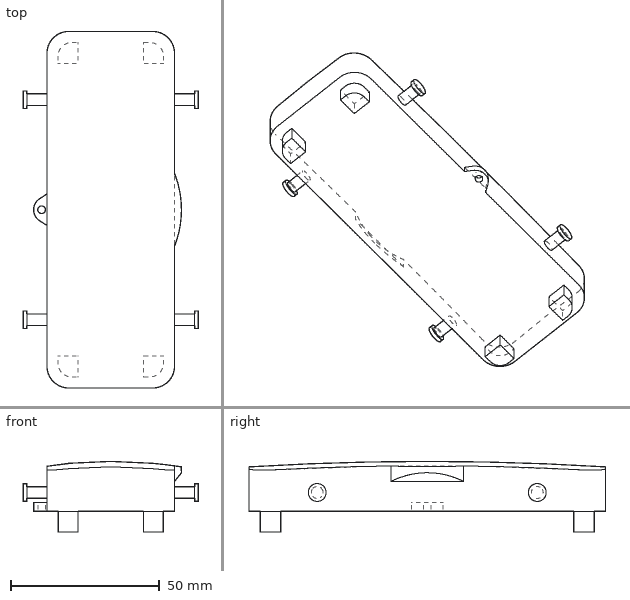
import cadquery as cq
import math

BODY_WIDTH = 43.0
BODY_LENGTH = 120.0
CORNER_RADIUS = 7.5
CROWN_HEIGHT = 16.84
ROOF_DROP_ACROSS = 1.5
ROOF_DROP_ALONG = 1.85
HALF_WIDTH = BODY_WIDTH / 2
HALF_LENGTH = BODY_LENGTH / 2

LIP_REACH = 2.3
LIP_HALF_SPAN = 12.2
LIP_EDGE_BOTTOM = 13.0
LIP_ROOT_BOTTOM = 10.1

PIN_DIAMETER = 4.0
PIN_HEAD_DIAMETER = 6.0
PIN_HEAD_THICKNESS = 1.3
PIN_TIP_X = 29.5
PIN_Y = 37.0
PIN_Z = 6.35

FOOT_HEIGHT = 7.0
FOOT_INSET = 3.8
FOOT_WIDTH = 6.75
FOOT_LENGTH = 7.0
FOOT_CORNER_RADIUS = 4.5

TAB_THICKNESS = 3.0
TAB_RADIUS = 4.45
TAB_ROOT_HALF_WIDTH = 5.3
EYELET_DIAMETER = 2.5
EYELET_OFFSET = 1.75


def arc_radius(half_chord, rise):
    """Radius of the arc with the given half chord and rise."""
    return (half_chord**2 + rise**2) / (2 * rise)


def make_block():
    """Straight-sided rounded block, as tall as the crown."""
    block = cq.Workplane("XY").rect(BODY_WIDTH, BODY_LENGTH).extrude(CROWN_HEIGHT)
    return block.edges("|Z").fillet(CORNER_RADIUS)


def make_lip():
    """Arc-shaped bulge whose underside slopes back to the body side."""
    tip_x = HALF_WIDTH + LIP_REACH
    bulge = (
        cq.Workplane("XY")
        .moveTo(0, -LIP_HALF_SPAN)
        .lineTo(HALF_WIDTH, -LIP_HALF_SPAN)
        .threePointArc((tip_x, 0), (HALF_WIDTH, LIP_HALF_SPAN))
        .lineTo(0, LIP_HALF_SPAN)
        .close()
        .extrude(CROWN_HEIGHT)
    )
    side_profile = (
        cq.Workplane("XZ")
        .polyline([
            (0, LIP_ROOT_BOTTOM),
            (HALF_WIDTH, LIP_ROOT_BOTTOM),
            (tip_x, LIP_EDGE_BOTTOM),
            (tip_x, CROWN_HEIGHT),
            (0, CROWN_HEIGHT),
        ])
        .close()
        .extrude(LIP_HALF_SPAN, both=True)
    )
    return bulge.intersect(side_profile)


def make_dome():
    """Barrel-shaped solid whose upper surface is the roof, in two halves meeting at x = 0."""
    across_radius = arc_radius(HALF_WIDTH, ROOF_DROP_ACROSS)
    axis_z = CROWN_HEIGHT - arc_radius(HALF_LENGTH, ROOF_DROP_ALONG)
    dome_half_width = BODY_WIDTH

    def roof_point(x):
        drop = across_radius - math.sqrt(across_radius**2 - x**2)
        return (x, CROWN_HEIGHT - drop)

    dome = (
        cq.Workplane("XZ")
        .moveTo(-dome_half_width, axis_z)
        .lineTo(*roof_point(-dome_half_width))
        .threePointArc(roof_point(-dome_half_width / 2), roof_point(0))
        .threePointArc(roof_point(dome_half_width / 2), roof_point(dome_half_width))
        .lineTo(dome_half_width, axis_z)
        .close()
        .revolve(360, (0, axis_z, 0), (1, axis_z, 0))
    )
    return dome.rotate((0, 0, axis_z), (1, 0, axis_z), 180)


def make_pin(side, y):
    """Headed pin pointing out along X, starting inside the body."""
    root_x = HALF_WIDTH - PIN_DIAMETER
    head_x = PIN_TIP_X - PIN_HEAD_THICKNESS
    root_plane = cq.Plane((side * root_x, y, PIN_Z), (0, 1, 0), (side, 0, 0))
    head_plane = cq.Plane((side * head_x, y, PIN_Z), (0, 1, 0), (side, 0, 0))
    shaft = cq.Workplane(root_plane).circle(PIN_DIAMETER / 2).extrude(head_x - root_x)
    head = cq.Workplane(head_plane).circle(PIN_HEAD_DIAMETER / 2).extrude(PIN_HEAD_THICKNESS)
    return shaft.union(head)


def make_foot(side_x, side_y):
    """Rectangular foot with its outer corner rounded."""
    outer_x = side_x * (HALF_WIDTH - FOOT_INSET)
    outer_y = side_y * (HALF_LENGTH - FOOT_INSET)
    center_x = outer_x - side_x * FOOT_WIDTH / 2
    center_y = outer_y - side_y * FOOT_LENGTH / 2
    foot = (
        cq.Workplane("XY")
        .center(center_x, center_y)
        .rect(FOOT_WIDTH, FOOT_LENGTH)
        .extrude(-FOOT_HEIGHT)
    )
    outer_edge = cq.selectors.NearestToPointSelector((outer_x, outer_y, -FOOT_HEIGHT / 2))
    return foot.edges("|Z").edges(outer_edge).fillet(FOOT_CORNER_RADIUS)


def make_tab():
    """Flat tab, an arc with tangent flanks, flush with the body underside."""
    tangent_y = TAB_RADIUS**2 / TAB_ROOT_HALF_WIDTH
    tangent_x = -HALF_WIDTH - math.sqrt(TAB_RADIUS**2 - tangent_y**2)
    return (
        cq.Workplane("XY")
        .moveTo(-HALF_WIDTH, TAB_ROOT_HALF_WIDTH)
        .lineTo(tangent_x, tangent_y)
        .threePointArc((-HALF_WIDTH - TAB_RADIUS, 0), (tangent_x, -tangent_y))
        .lineTo(-HALF_WIDTH, -TAB_ROOT_HALF_WIDTH)
        .close()
        .extrude(TAB_THICKNESS)
    )


def make_eyelet():
    """Cutter for the hole through the tab."""
    return (
        cq.Workplane("XY")
        .center(-HALF_WIDTH - EYELET_OFFSET, 0)
        .circle(EYELET_DIAMETER / 2)
        .extrude(TAB_THICKNESS)
    )


result = make_block().union(make_lip()).union(make_tab()).cut(make_eyelet())
for side_x in (-1, 1):
    for side_y in (-1, 1):
        result = result.union(make_pin(side_x, side_y * PIN_Y))
        result = result.union(make_foot(side_x, side_y))

result = result.intersect(make_dome(), clean=False)